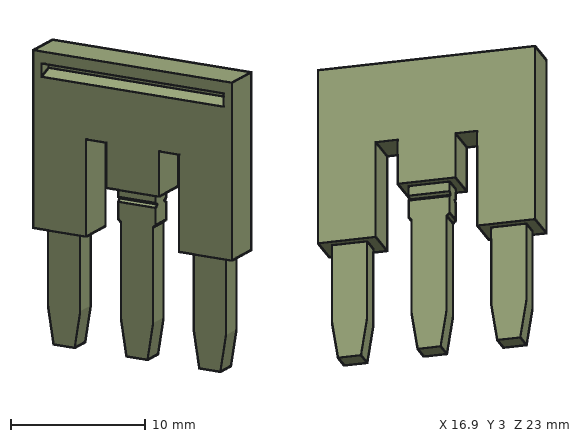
import cadquery as cq

housing_width = 16.9
housing_depth = 3.0
housing_height = 13.9
middle_leg_length = 9.84
notch_top = 6.3
leg_width = 4.5
notch_width = (housing_width - 3 * leg_width) / 2

slot_width = 15.5
slot_top = 0.94
slot_floor_top = 1.24
slot_floor_bottom = 1.58
slot_bottom = 1.98
slot_depth = 1.1

overall_height = 22.98
pin_pitch = 6.2
pin_width = 2.75
pin_depth = 1.65
tip_width = 1.8
tip_length = 2.92
pin_embedding = 1.0

collar_width = 3.2
collar_bottom = 12.34
groove_top = 10.61
groove_height = 0.39
groove_depth = 0.26

front = -housing_depth / 2


def centred_box(width, depth, top, bottom, x=0):
    """Box centred on x and on the mid-plane, between two depths below the top face."""
    box = cq.Workplane("XY").box(width, depth, bottom - top, centered=(True, True, False))
    return box.translate((x, 0, -bottom))


def swept_along_x(points, width):
    """Prism of a Y-Z outline, centred across the width."""
    return cq.Workplane("YZ").polyline(points).close().extrude(width / 2, both=True)


def make_housing():
    housing = centred_box(housing_width, housing_depth, 0, housing_height)
    notch_offset = (leg_width + notch_width) / 2
    for x in (-notch_offset, notch_offset):
        housing = housing.cut(centred_box(notch_width, housing_depth, notch_top, housing_height, x))
    housing = housing.cut(centred_box(leg_width, housing_depth, middle_leg_length, housing_height))
    return housing.cut(make_slot())


def make_slot():
    """Slot whose upper and lower walls slope in to a narrower floor."""
    outline = [
        (front, -slot_top),
        (front + slot_depth, -slot_floor_top),
        (front + slot_depth, -slot_floor_bottom),
        (front, -slot_bottom),
    ]
    return swept_along_x(outline, slot_width)


def make_pin(x, top):
    """Flat pin whose sides taper to a narrower blunt tip."""
    taper_start = -overall_height + tip_length
    outline = [
        (-pin_width / 2, -top),
        (pin_width / 2, -top),
        (pin_width / 2, taper_start),
        (tip_width / 2, -overall_height),
        (-tip_width / 2, -overall_height),
        (-pin_width / 2, taper_start),
    ]
    pin = cq.Workplane("XZ").polyline(outline).close().extrude(pin_depth / 2, both=True)
    return pin.translate((x, 0, 0))


def make_collar():
    """Collar that narrows at 45 degrees to the pin, grooved on front and back."""
    top = -middle_leg_length + pin_embedding
    shoulder = (collar_width - pin_width) / 2
    outline = [
        (-collar_width / 2, top),
        (collar_width / 2, top),
        (collar_width / 2, -collar_bottom),
        (pin_width / 2, -collar_bottom - shoulder),
        (-pin_width / 2, -collar_bottom - shoulder),
        (-collar_width / 2, -collar_bottom),
    ]
    return cq.Workplane("XZ").polyline(outline).close().extrude(pin_depth / 2, both=True)


def make_groove(side):
    """V groove on the front (side -1) or back (side +1) of the collar."""
    surface = side * pin_depth / 2
    outline = [
        (surface, -groove_top),
        (surface - side * groove_depth, -groove_top - groove_height / 2),
        (surface, -groove_top - groove_height),
    ]
    return swept_along_x(outline, collar_width)


middle_pin = make_pin(0, middle_leg_length - pin_embedding).union(make_collar())
for side in (-1, 1):
    middle_pin = middle_pin.cut(make_groove(side))

result = make_housing().union(middle_pin)
for x in (-pin_pitch, pin_pitch):
    result = result.union(make_pin(x, housing_height - pin_embedding))